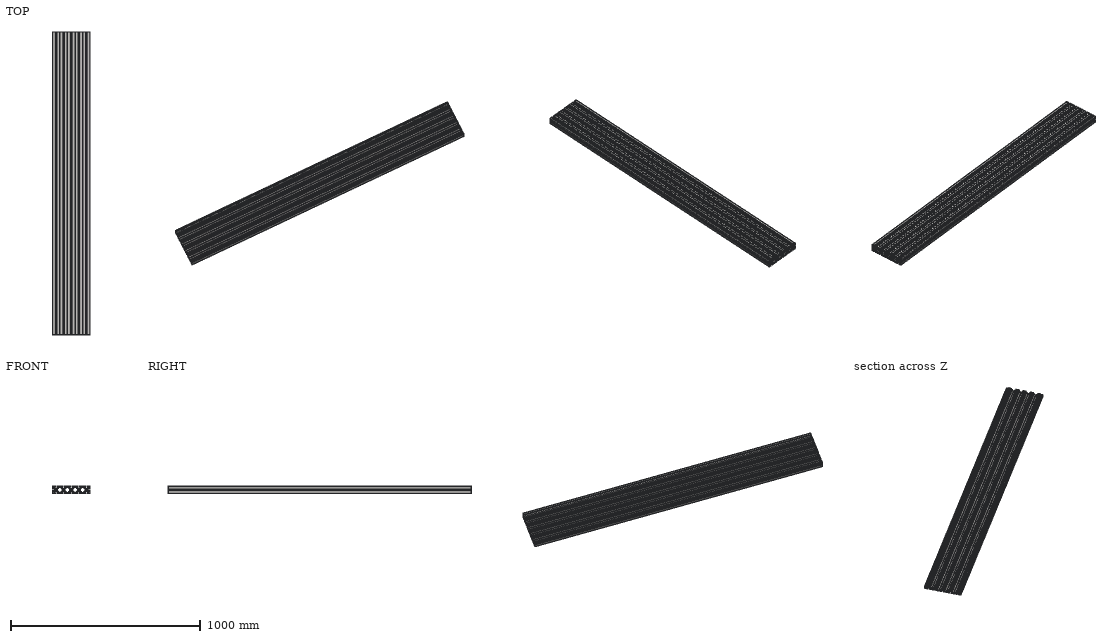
import cadquery as cq

length = 1600.0
module = 40.0
module_count = 5
corner_radius = 4.0
half_module = module / 2
width = module * module_count

slot_opening = 8.2
lip_radius = 1.5
lip_thickness = 5.3
undercut_half_width = 10.2
undercut_wall = 1.0
haunch_depth = 10.0
haunch_half_width = 6.5
slot_depth = 12.3
floor_half_width = 4.0

groove_half_width = 1.0
groove_depth = 1.0

bore_diameter = 6.7
cavity_half_width = 12.0
cavity_half_height = 15.5
cavity_flat_half_width = 1.3
cavity_side_half_height = 4.3

module_centres = [(i - (module_count - 1) / 2) * module for i in range(module_count)]
joint_centres = [x + half_module for x in module_centres[:-1]]


def extrude_profile(profile):
    """Extrude a closed profile in XZ over the full length, centred on Y = 0."""
    return profile.extrude(length / 2, both=True)


def slot_cutter():
    """T-slot open towards +Z, with its mouth half a module above the origin."""
    mouth = half_module
    lip_bottom = mouth - lip_thickness
    floor = mouth - slot_depth
    half_opening = slot_opening / 2
    lip_edge = half_opening + lip_radius

    right_side = [
        (undercut_half_width, lip_bottom),
        (undercut_half_width, lip_bottom - undercut_wall),
        (haunch_half_width, mouth - haunch_depth),
        (floor_half_width, floor),
        (groove_half_width, floor),
    ]
    left_side = [(-x, z) for x, z in reversed(right_side)]
    groove_bottom = (0, floor - groove_depth)

    outline = (
        cq.Workplane("XZ")
        .moveTo(lip_edge, mouth)
        .radiusArc((half_opening, mouth - lip_radius), -lip_radius)
        .lineTo(half_opening, lip_bottom + lip_radius)
        .radiusArc((lip_edge, lip_bottom), -lip_radius)
    )
    for point in right_side + [groove_bottom] + left_side:
        outline = outline.lineTo(*point)
    outline = (
        outline.lineTo(-lip_edge, lip_bottom)
        .radiusArc((-half_opening, lip_bottom + lip_radius), -lip_radius)
        .lineTo(-half_opening, mouth - lip_radius)
        .radiusArc((-lip_edge, mouth), -lip_radius)
    )
    return extrude_profile(outline.close())


def cavity_cutter():
    """Eight-sided hollow between two neighbouring modules."""
    upper = [
        (cavity_half_width, cavity_side_half_height),
        (cavity_flat_half_width, cavity_half_height),
        (-cavity_flat_half_width, cavity_half_height),
        (-cavity_half_width, cavity_side_half_height),
    ]
    lower = [(-x, -z) for x, z in upper]
    return extrude_profile(cq.Workplane("XZ").polyline(upper + lower).close())


result = cq.Workplane("XY").box(width, length, module).edges("|Y").fillet(corner_radius)

slot_places = [(x, angle) for x in module_centres for angle in (0, 180)]
slot_places += [(module_centres[0], -90), (module_centres[-1], 90)]
slot = slot_cutter()
for x, angle in slot_places:
    result = result.cut(slot.rotate((0, 0, 0), (0, 1, 0), angle).translate((x, 0, 0)))

bore_places = [(x, 0) for x in module_centres]
bores = cq.Workplane("XZ").pushPoints(bore_places).circle(bore_diameter / 2)
result = result.cut(extrude_profile(bores))

cavity = cavity_cutter()
for x in joint_centres:
    result = result.cut(cavity.translate((x, 0, 0)))